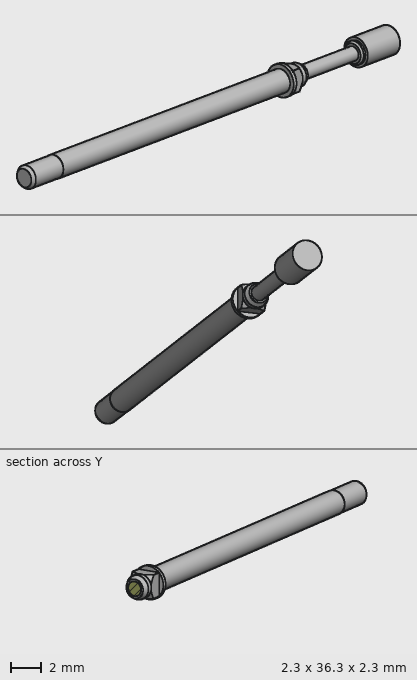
import cadquery as cq

total_length = 36.3
axis_middle = total_length / 2

head_diameter = 2.07
head_length = 3.23
shoulder_diameter = 1.67
shoulder_length = 0.33
shoulder_chamfer = 0.15

plunger_diameter = 1.0
barrel_mouth = 8.75

barrel_diameter = 1.67
mouth_taper_length = 0.35
mouth_taper_depth = 0.18

square_width = 1.65
square_start = 9.47
collar_diameter = 2.3
collar_start = 10.45
collar_thickness = 0.3

tail_diameter = 1.65
tail_length = 2.98
tail_taper_length = 0.25
tail_taper_depth = 0.18


def round_bar(diameter, near, far):
    """Cylinder on the Y axis between two distances from the head face."""
    start = cq.Workplane("XZ", origin=(0, axis_middle - near, 0))
    return start.circle(diameter / 2).extrude(far - near)


def round_taper(near_diameter, far_diameter, near, far):
    """Cone on the Y axis between two distances from the head face."""
    cone = cq.Solid.makeCone(
        near_diameter / 2,
        far_diameter / 2,
        far - near,
        pnt=cq.Vector(0, axis_middle - near, 0),
        dir=cq.Vector(0, -1, 0),
    )
    return cq.Workplane("XZ").add(cone)


def make_plunger():
    shoulder_end = head_length + shoulder_length
    head = round_bar(head_diameter, 0, head_length)
    shoulder = round_bar(shoulder_diameter, head_length, shoulder_end)
    shoulder = shoulder.faces("<Y").chamfer(shoulder_chamfer)
    rod = round_bar(plunger_diameter, shoulder_end, barrel_mouth)
    return head.union(shoulder).union(rod)


def make_barrel():
    """Barrel in two stretches, leaving out the square section between them."""
    tail_start = total_length - tail_length
    taper_end = barrel_mouth + mouth_taper_length
    mouth_diameter = barrel_diameter - 2 * mouth_taper_depth
    taper = round_taper(mouth_diameter, barrel_diameter, barrel_mouth, taper_end)
    mouth = round_bar(barrel_diameter, taper_end, square_start)
    barrel = round_bar(barrel_diameter, collar_start, tail_start)
    return taper.union(mouth).union(barrel)


def make_tail():
    """Tail plug whose end is tapered by a long, shallow cone."""
    taper_start = total_length - tail_taper_length
    end_diameter = tail_diameter - 2 * tail_taper_depth
    plug = round_bar(tail_diameter, total_length - tail_length, taper_start)
    return plug.union(round_taper(tail_diameter, end_diameter, taper_start, total_length))


def make_square_section():
    """Square whose corners are turned down by a 45 degree cone at the head end."""
    length = collar_start - square_start
    square = (
        cq.Workplane("XZ", origin=(0, axis_middle - square_start, 0))
        .rect(square_width, square_width)
        .extrude(length)
    )
    corner_chamfer = (collar_diameter - barrel_diameter) / 2
    turned = round_bar(collar_diameter, square_start, collar_start)
    turned = turned.faces(">Y").chamfer(corner_chamfer)
    return square.intersect(turned)


collar = round_bar(collar_diameter, collar_start, collar_start + collar_thickness)

result = (
    make_plunger()
    .union(make_barrel())
    .union(make_square_section())
    .union(collar)
    .union(make_tail())
)